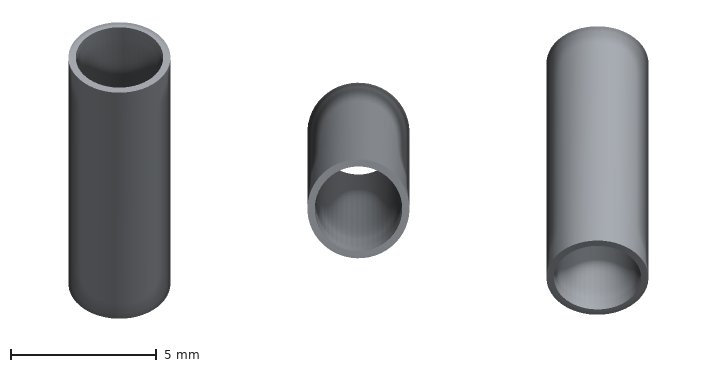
import cadquery as cq

length = 10.7
outer_diameter = 3.5
bore_diameter = 3.0

result = (
    cq.Workplane("XY")
    .circle(outer_diameter / 2)
    .circle(bore_diameter / 2)
    .extrude(length)
)